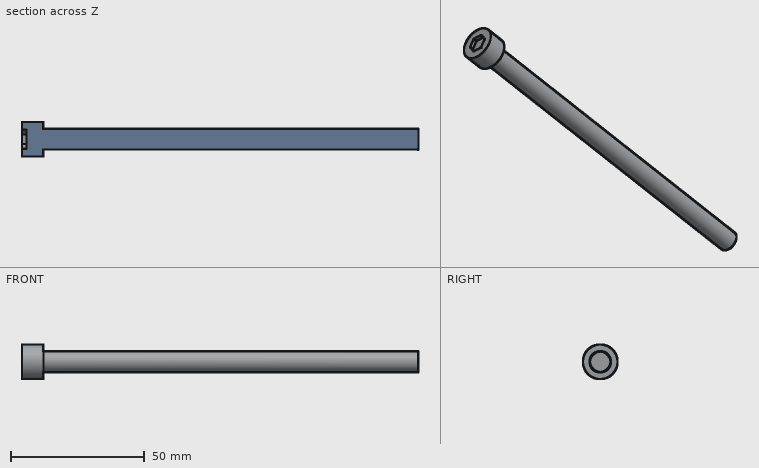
import cadquery as cq
import math

total_length = 148.0
head_diameter = 13.0
shank_diameter = 8.0
head_height = shank_diameter
shank_length = total_length - head_height
tip_chamfer = 0.22

socket_across_flats = 6.0
socket_depth = 1.6
socket_across_corners = socket_across_flats / math.cos(math.pi / 6)


def make_head():
    return cq.Workplane("YZ").circle(head_diameter / 2).extrude(-head_height)


def make_shank():
    shank = cq.Workplane("YZ").circle(shank_diameter / 2).extrude(shank_length)
    return shank.faces(">X").chamfer(tip_chamfer)


def make_socket():
    head_face = cq.Workplane("YZ", origin=(-head_height, 0, 0))
    return head_face.polygon(6, socket_across_corners).extrude(socket_depth)


result = make_head().union(make_shank()).cut(make_socket())